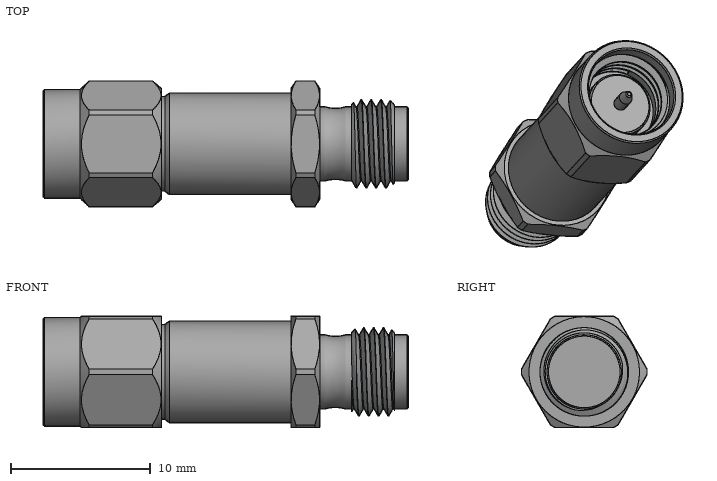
import cadquery as cq
import math


sleeve_end = 2.64
nut_end = 8.48
neck_end = 8.71
body_start = 9.04
flange_start = 17.74
flange_end = 19.83
jack_thread_start = 22.08
jack_thread_end = 25.18
total_length = 26.16

sleeve_diameter = 7.81
neck_diameter = 6.8
body_diameter = 7.3
jack_diameter = 5.33
edge_chamfer = 0.1

hex_across_flats = 8.0
hex_corner_diameter = 9.02
nut_chamfer_length = 0.65
nut_front_chamfer_depth = 0.6
nut_rear_chamfer_depth = 0.54
flange_chamfer_length = 0.37
flange_chamfer_depth = 0.55

groove_start = 20.19
groove_end = 21.68
groove_depth = 0.11

thread_pitch = 25.4 / 36
thread_diameter = 6.35
thread_crest_width = 0.04
thread_flank_angle = 30.0
thread_entry_diameter = 5.6
jack_thread_run_in = 0.87
thread_overlap = 0.02

mouth_diameter = 6.62
mouth_chamfer = 0.1
counterbore_depth = 1.1
nut_bore_diameter = 5.52
nut_thread_diameter = 6.4
bore_depth = 3.6
nut_thread_start = 0.04
ferrule_diameter = 4.57
ferrule_front = 2.7
ferrule_chamfer = 0.12
pin_diameter = 0.94
pin_tip_diameter = 0.45
pin_front = 0.55
pin_cone_length = 0.85
pin_tip_chamfer = 0.1


def revolve_about_x(profile):
    """Turn a closed (x, radius) profile about the X axis."""
    return profile.close().revolve(360, (0, 0, 0), (1, 0, 0))


def cylinder(start, end, diameter):
    return cq.Workplane("YZ", origin=(start, 0, 0)).circle(diameter / 2).extrude(end - start)


def hexagon(start, end, chamfer_length, front_depth, rear_depth):
    """Hex bar with flats facing +Z and -Z, turned corners and conical chamfers on both ends."""
    across_corners = hex_across_flats / math.cos(math.pi / 6)
    bar = cq.Workplane("YZ", origin=(start, 0, 0)).polygon(6, across_corners).extrude(end - start)
    corner_radius = hex_corner_diameter / 2
    envelope = revolve_about_x(
        cq.Workplane("XY")
        .moveTo(start, 0)
        .lineTo(start, corner_radius - front_depth)
        .lineTo(start + chamfer_length, corner_radius)
        .lineTo(end - chamfer_length, corner_radius)
        .lineTo(end, corner_radius - rear_depth)
        .lineTo(end, 0)
    )
    return bar.intersect(envelope)


def helical_ridge(start, length, base_radius, crest_radius, crest_width):
    """Right-hand helical V ridge about X, with its base on base_radius and its crest on crest_radius."""
    flank_run = (crest_radius - base_radius) * math.tan(math.radians(thread_flank_angle))
    half_base = crest_width / 2 + flank_run
    helix = cq.Wire.makeHelix(thread_pitch, length, base_radius)
    ridge = (
        cq.Workplane("XZ")
        .moveTo(base_radius, -half_base)
        .lineTo(crest_radius, -crest_width / 2)
        .lineTo(crest_radius, crest_width / 2)
        .lineTo(base_radius, half_base)
        .close()
        .sweep(cq.Workplane(obj=helix), isFrenet=True)
    )
    return ridge.rotate((0, 0, 0), (0, 1, 0), 90).translate((start, 0, 0))


def jack_thread():
    """Helical ridge trimmed to the threaded length, with a 45 degree lead at each end."""
    crest_radius = thread_diameter / 2
    entry_radius = thread_entry_diameter / 2
    lead = crest_radius - entry_radius
    envelope = revolve_about_x(
        cq.Workplane("XY")
        .moveTo(jack_thread_start, 0)
        .lineTo(jack_thread_start, entry_radius)
        .lineTo(jack_thread_start + lead, crest_radius)
        .lineTo(jack_thread_end - lead, crest_radius)
        .lineTo(jack_thread_end, entry_radius)
        .lineTo(jack_thread_end, 0)
    )
    ridge = helical_ridge(
        jack_thread_start - jack_thread_run_in,
        jack_thread_end - jack_thread_start + 2 * jack_thread_run_in,
        jack_diameter / 2 - thread_overlap,
        crest_radius,
        thread_crest_width,
    )
    return ridge.intersect(envelope)


def round_body():
    """Neck behind the nut, main body and jack barrel with its arc-shaped relief groove."""
    neck_radius = neck_diameter / 2
    body_radius = body_diameter / 2
    jack_radius = jack_diameter / 2
    groove_middle = (groove_start + groove_end) / 2
    return revolve_about_x(
        cq.Workplane("XY")
        .moveTo(sleeve_end, 0)
        .lineTo(sleeve_end, neck_radius)
        .lineTo(neck_end, neck_radius)
        .lineTo(body_start, body_radius)
        .lineTo(flange_end, body_radius)
        .lineTo(flange_end, jack_radius)
        .lineTo(groove_start, jack_radius)
        .threePointArc((groove_middle, jack_radius - groove_depth), (groove_end, jack_radius))
        .lineTo(total_length - edge_chamfer, jack_radius)
        .lineTo(total_length, jack_radius - edge_chamfer)
        .lineTo(total_length, 0)
    )


def nut_cavity():
    """Chamfered mouth and counterbore of the coupling nut, tapering into its threaded bore."""
    bore_radius = nut_bore_diameter / 2
    counterbore_radius = mouth_diameter / 2 - mouth_chamfer
    taper = (counterbore_radius - bore_radius) * math.tan(math.radians(thread_flank_angle))
    bore = revolve_about_x(
        cq.Workplane("XY")
        .moveTo(0, 0)
        .lineTo(0, mouth_diameter / 2)
        .lineTo(mouth_chamfer, counterbore_radius)
        .lineTo(counterbore_depth, counterbore_radius)
        .lineTo(counterbore_depth + taper, bore_radius)
        .lineTo(bore_depth, bore_radius)
        .lineTo(bore_depth, 0)
    )
    thread = helical_ridge(
        nut_thread_start,
        bore_depth - nut_thread_start - thread_pitch / 2,
        bore_radius - thread_overlap,
        nut_thread_diameter / 2,
        thread_crest_width,
    )
    return bore.union(thread)


def ferrule():
    """Raised boss standing on the floor of the nut bore."""
    return cylinder(ferrule_front, bore_depth, ferrule_diameter).faces("<X").chamfer(ferrule_chamfer)


def pin():
    """Centre contact with a long cone and a small chamfered tip."""
    return revolve_about_x(
        cq.Workplane("XY")
        .moveTo(pin_front, 0)
        .lineTo(pin_front, pin_tip_diameter / 2 - pin_tip_chamfer)
        .lineTo(pin_front + pin_tip_chamfer, pin_tip_diameter / 2)
        .lineTo(pin_front + pin_cone_length, pin_diameter / 2)
        .lineTo(bore_depth, pin_diameter / 2)
        .lineTo(bore_depth, 0)
    )


sleeve = cylinder(0, nut_end, sleeve_diameter).faces("<X").chamfer(edge_chamfer)
nut = hexagon(sleeve_end, nut_end, nut_chamfer_length, nut_front_chamfer_depth, nut_rear_chamfer_depth)
flange = hexagon(flange_start, flange_end, flange_chamfer_length, flange_chamfer_depth, flange_chamfer_depth)

result = (
    round_body()
    .union(sleeve)
    .union(nut)
    .union(flange)
    .union(jack_thread())
    .cut(nut_cavity())
    .union(ferrule())
    .union(pin())
)